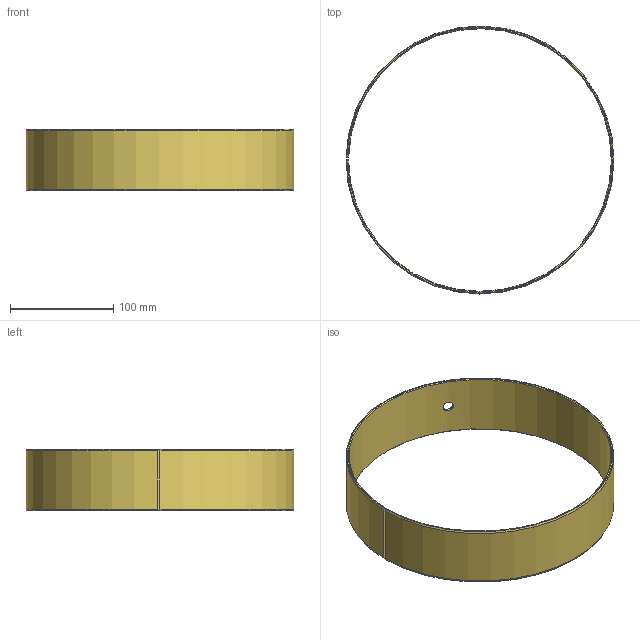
import cadquery as cq
import math

outer_radius = 130.0
wall = 2.5
height = 60.0
inner_radius = outer_radius - wall

outer_chamfer_height = 1.8
outer_chamfer_angle = math.radians(20.0)
outer_chamfer_depth = outer_chamfer_height * math.tan(outer_chamfer_angle)
inner_chamfer = 0.8

slit_angle = 1.0
slit_start_angle = 180.0

hole_diameter = 10.0
hole_angle = math.radians(59.0)
hole_cut_length = 3 * wall


def make_band():
    rim = height / 2
    outer_shoulder = rim - outer_chamfer_height
    inner_shoulder = rim - inner_chamfer
    rim_outer_radius = outer_radius - outer_chamfer_depth
    rim_inner_radius = inner_radius + inner_chamfer
    profile = [
        (rim_inner_radius, -rim),
        (rim_outer_radius, -rim),
        (outer_radius, -outer_shoulder),
        (outer_radius, outer_shoulder),
        (rim_outer_radius, rim),
        (rim_inner_radius, rim),
        (inner_radius, inner_shoulder),
        (inner_radius, -inner_shoulder),
    ]
    section = cq.Workplane("XZ").polyline(profile).close()
    band = section.revolve(360 - slit_angle, (0, 0, 0), (0, 1, 0))
    return band.rotate((0, 0, 0), (0, 0, 1), slit_start_angle)


def make_hole():
    direction = cq.Vector(math.cos(hole_angle), math.sin(hole_angle), 0)
    start = direction * (inner_radius - wall)
    plane = cq.Plane(origin=start, xDir=(0, 0, 1), normal=direction)
    return cq.Workplane(plane).circle(hole_diameter / 2).extrude(hole_cut_length)


result = make_band().cut(make_hole())